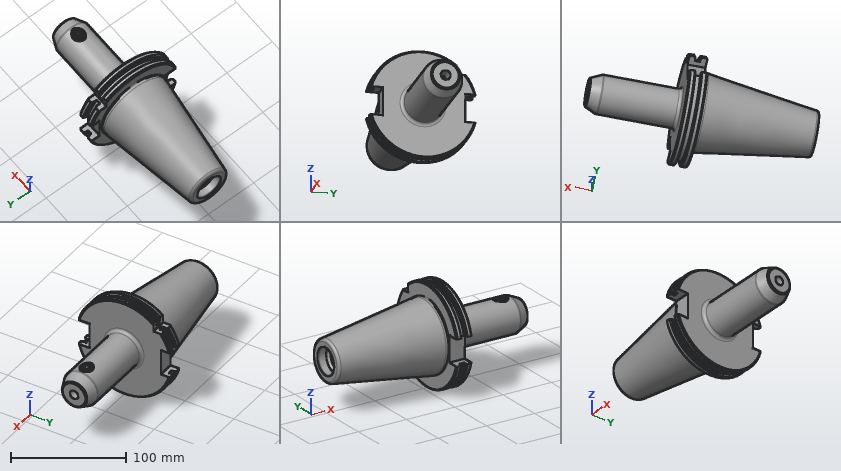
import cadquery as cq
import math

overall_length = 201.8
gauge_radius = 35.1
taper_length = 101.7
taper_ratio = 7 / 24
taper_end_round = 2.8
small_end_radius = gauge_radius - taper_length * taper_ratio / 2

flange_radius = 97.5 / 2
flange_start = 3.2
flange_end = 19.2
flange_chamfer = 1.0
flange_root_fillet = 0.6
groove_center = 11.3
groove_floor_radius = 89.0 / 2
groove_floor_width = 4.5
groove_mouth_width = 6.7
groove_flank_depth = 1.8

slot_width = 25.6
front_slot_floor = 35.5
back_slot_floor = 37.7
notch_offset = 30.0

nose_radius = 35.0 / 2
nose_fillet = 3.0
nose_end = overall_length - taper_length
nose_cone_length = 10.9
nose_cone_round = 2.0
nose_cone_tip_radius = 13.0
tip_chamfer_length = 0.8
tip_chamfer_height = 1.2

entry_bore_radius = 12.7
entry_bore_depth = 8.9
entry_lead_length = 1.5
entry_lead_height = 0.5
shoulder_radius = 12.3
drill_radius = 10.7
drill_depth = 40.4
shoulder_cone_angle = 60
drill_point_angle = 118
through_bore_radius = 4.2

screw_x = 79.9
screw_radius = 5.0
screw_top = 17.4
screw_bottom = through_bore_radius
screw_chamfer = 0.8
hex_across_flats = 5.0
hex_depth = 5.0
countersink_radius = 7.0


def revolve_about_x(outline):
    return outline.close().revolve(360, (0, 0, 0), (1, 0, 0))


def make_turned_blank():
    groove_lip_radius = flange_radius - groove_flank_depth
    half_floor = groove_floor_width / 2
    half_mouth = groove_mouth_width / 2
    cone_start = nose_end - nose_cone_length
    cone_end = nose_end - tip_chamfer_length
    outline = (
        cq.Workplane("XZ")
        .moveTo(-taper_length, 0)
        .lineTo(-taper_length, small_end_radius)
        .lineTo(0, gauge_radius)
        .lineTo(flange_start, gauge_radius)
        .lineTo(flange_start, flange_radius - flange_chamfer)
        .lineTo(flange_start + flange_chamfer, flange_radius)
        .lineTo(groove_center - half_mouth, flange_radius)
        .lineTo(groove_center - half_floor, groove_lip_radius)
        .lineTo(groove_center - half_floor, groove_floor_radius)
        .lineTo(groove_center + half_floor, groove_floor_radius)
        .lineTo(groove_center + half_floor, groove_lip_radius)
        .lineTo(groove_center + half_mouth, flange_radius)
        .lineTo(flange_end - flange_chamfer, flange_radius)
        .lineTo(flange_end, flange_radius - flange_chamfer)
        .lineTo(flange_end, nose_radius)
        .lineTo(cone_start, nose_radius)
        .lineTo(cone_end, nose_cone_tip_radius)
        .lineTo(nose_end, nose_cone_tip_radius - tip_chamfer_height)
        .lineTo(nose_end, 0)
    )
    blank = revolve_about_x(outline)
    blank = round_circular_edge(blank, -taper_length, small_end_radius, taper_end_round)
    blank = round_circular_edge(blank, flange_start, gauge_radius, flange_root_fillet)
    blank = round_circular_edge(blank, flange_end, nose_radius, nose_fillet)
    return round_circular_edge(blank, cone_start, nose_radius, nose_cone_round)


def round_circular_edge(body, x, edge_radius, fillet_radius):
    margin = 0.02
    reach = edge_radius + margin
    near_edge = cq.selectors.BoxSelector(
        (x - margin, -reach, -reach), (x + margin, reach, reach), boundingbox=True
    )
    inner_edges = cq.selectors.RadiusNthSelector(-1)
    return body.edges(near_edge).edges(inner_edges).fillet(fillet_radius)


def cone_length(large_radius, small_radius, included_angle):
    return (large_radius - small_radius) / math.tan(math.radians(included_angle / 2))


def make_axial_bores():
    entry = -taper_length
    entry_bore_end = entry + entry_bore_depth
    shoulder_start = entry_bore_end + entry_bore_radius - shoulder_radius
    shoulder_end = shoulder_start + cone_length(shoulder_radius, drill_radius, shoulder_cone_angle)
    drill_end = entry + drill_depth
    drill_point_end = drill_end + cone_length(drill_radius, through_bore_radius, drill_point_angle)
    outline = (
        cq.Workplane("XZ")
        .moveTo(entry, 0)
        .lineTo(entry, entry_bore_radius + entry_lead_height)
        .lineTo(entry + entry_lead_length, entry_bore_radius)
        .lineTo(entry_bore_end, entry_bore_radius)
        .lineTo(shoulder_start, shoulder_radius)
        .lineTo(shoulder_end, drill_radius)
        .lineTo(drill_end, drill_radius)
        .lineTo(drill_point_end, through_bore_radius)
        .lineTo(nose_end, through_bore_radius)
        .lineTo(nose_end, 0)
    )
    return revolve_about_x(outline)


def make_flange_cutter(y_min, z_min, z_size):
    """Box over the whole flange length, reaching outward in +Y past the flange rim."""
    cutter = cq.Workplane("XY").box(flange_end - flange_start, flange_radius, z_size, centered=False)
    return cutter.translate((flange_start, y_min, z_min))


def make_screw_hole():
    shaft = cq.Workplane("XY").center(screw_x, 0).circle(screw_radius).extrude(nose_radius)
    countersink = (
        cq.Workplane("XZ")
        .moveTo(0, nose_radius)
        .lineTo(countersink_radius, nose_radius)
        .lineTo(0, nose_radius - countersink_radius)
        .close()
        .revolve(360, (0, 0, 0), (0, 1, 0))
        .translate((screw_x, 0, 0))
    )
    return shaft.union(countersink)


def make_holder():
    back_slot = make_flange_cutter(back_slot_floor, -slot_width / 2, slot_width)
    front_slot = make_flange_cutter(-front_slot_floor - flange_radius, -slot_width / 2, slot_width)
    corner_notch = make_flange_cutter(notch_offset, notch_offset, flange_radius)
    holder = make_turned_blank().cut(make_axial_bores())
    for cutter in (back_slot, front_slot, corner_notch, make_screw_hole()):
        holder = holder.cut(cutter)
    return holder


def make_clamping_screw():
    hex_across_corners = hex_across_flats / math.cos(math.pi / 6)
    return (
        cq.Workplane("XY", origin=(screw_x, 0, screw_bottom))
        .circle(screw_radius)
        .extrude(screw_top - screw_bottom)
        .faces(">Z")
        .chamfer(screw_chamfer)
        .faces(">Z")
        .workplane()
        .polygon(6, hex_across_corners)
        .cutBlind(-hex_depth)
    )


holder = make_holder()
clamping_screw = make_clamping_screw()

result = cq.Compound.makeCompound([holder.val(), clamping_screw.val()])